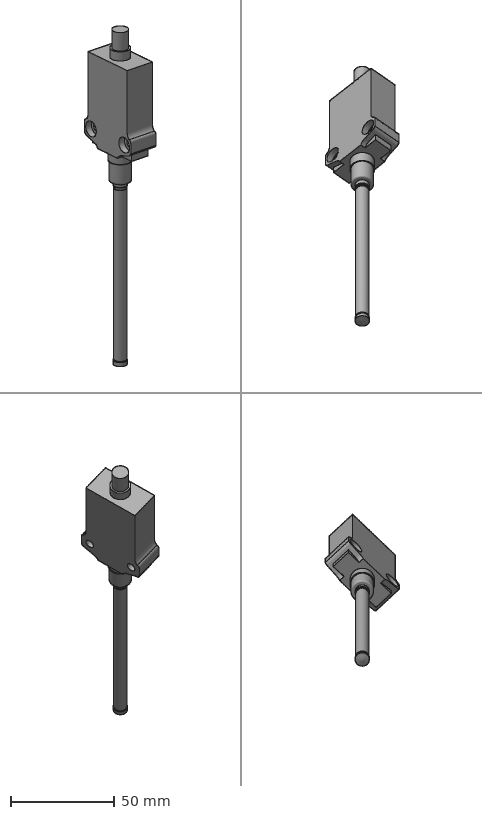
import cadquery as cq

top_z = 178.6
plunger_bottom_z = 168.8
housing_top_z = 164.0
housing_bottom_z = 114.8
collar_bottom_z = 109.1
gland_bottom_z = 98.0
neck_bottom_z = 95.7
cable_top_z = 94.3
cable_groove_top_z = 3.4
cable_groove_bottom_z = 2.9
cable_end_z = 0.7

plunger_d = 8.2
bushing_d = 10.2
collar_d = 12.0
gland_d = 11.0
cable_d = 6.8
cable_end_d = 7.0
neck_groove_d = 5.9
cable_groove_d = 6.5
gland_rounding = 0.9

thickness = 16.0
housing_half_width = 14.8
ear_half_width = 17.5
core_thickness = 10.4
ear_top_z = 130.4
ear_shoulder_x = 16.3
ear_shoulder_z = 127.7
ear_flat_top_z = 126.1
ear_flat_bottom_z = 120.5
skirt_half_width = 7.5
ear_hollow_middle = (15.4, 128.8)
ear_crest_middle = (17.1, 127.2)
ear_corner_middle = (17.0, 119.7)
ear_corner_end = (15.7, 119.0)
skirt_curve_start = (10.4, 117.2)
skirt_curve_middle = (8.5, 116.3)

hole_x = 12.5
hole_z = 123.6
hole_d = 4.5
counterbore_d = 8.0
counterbore_depth = 3.5


def half_body():
    """Right half of the full-depth profile: straight side, ear, then a curved run in to the skirt."""
    return (
        cq.Workplane("XZ")
        .moveTo(0, housing_top_z)
        .lineTo(housing_half_width, housing_top_z)
        .lineTo(housing_half_width, ear_top_z)
        .threePointArc(ear_hollow_middle, (ear_shoulder_x, ear_shoulder_z))
        .threePointArc(ear_crest_middle, (ear_half_width, ear_flat_top_z))
        .lineTo(ear_half_width, ear_flat_bottom_z)
        .threePointArc(ear_corner_middle, ear_corner_end)
        .lineTo(*skirt_curve_start)
        .threePointArc(skirt_curve_middle, (skirt_half_width, housing_bottom_z))
        .lineTo(0, housing_bottom_z)
        .close()
        .extrude(thickness / 2, both=True)
    )


def housing():
    """Body with ears; below the ears only the core keeps the full width."""
    right_half = half_body()
    body = right_half.union(right_half.mirror("YZ"))
    core_height = ear_flat_bottom_z - housing_bottom_z
    core = (
        cq.Workplane("XY", origin=(0, 0, housing_bottom_z))
        .rect(2 * housing_half_width, core_thickness)
        .extrude(core_height)
    )
    return body.union(core)


def mounting_holes():
    """Through holes with counterbores opening on the front face."""
    front = cq.Workplane("XZ", origin=(0, -thickness / 2, 0))
    centers = [(-hole_x, hole_z), (hole_x, hole_z)]
    bores = front.pushPoints(centers).circle(hole_d / 2).extrude(-thickness)
    counterbores = front.pushPoints(centers).circle(counterbore_d / 2).extrude(-counterbore_depth)
    return bores.union(counterbores)


def cylinder(diameter, bottom_z, upper_z):
    return cq.Workplane("XY", origin=(0, 0, bottom_z)).circle(diameter / 2).extrude(upper_z - bottom_z)


def cable_tip():
    """Shallow cone closing the free end of the cable."""
    return (
        cq.Workplane("XZ")
        .polyline([(0, 0), (cable_end_d / 2, cable_end_z), (0, cable_end_z)])
        .close()
        .revolve(360, (0, 0, 0), (0, 1, 0))
    )


result = housing().cut(mounting_holes())
gland = cylinder(gland_d, gland_bottom_z, collar_bottom_z).faces("<Z").fillet(gland_rounding)
for round_part in [
    cylinder(plunger_d, plunger_bottom_z, top_z),
    cylinder(bushing_d, housing_top_z, plunger_bottom_z),
    cylinder(collar_d, collar_bottom_z, housing_bottom_z),
    gland,
    cylinder(cable_end_d, neck_bottom_z, gland_bottom_z),
    cylinder(neck_groove_d, cable_top_z, neck_bottom_z),
    cylinder(cable_d, cable_groove_top_z, cable_top_z),
    cylinder(cable_groove_d, cable_groove_bottom_z, cable_groove_top_z),
    cylinder(cable_end_d, cable_end_z, cable_groove_bottom_z),
    cable_tip(),
]:
    result = result.union(round_part)